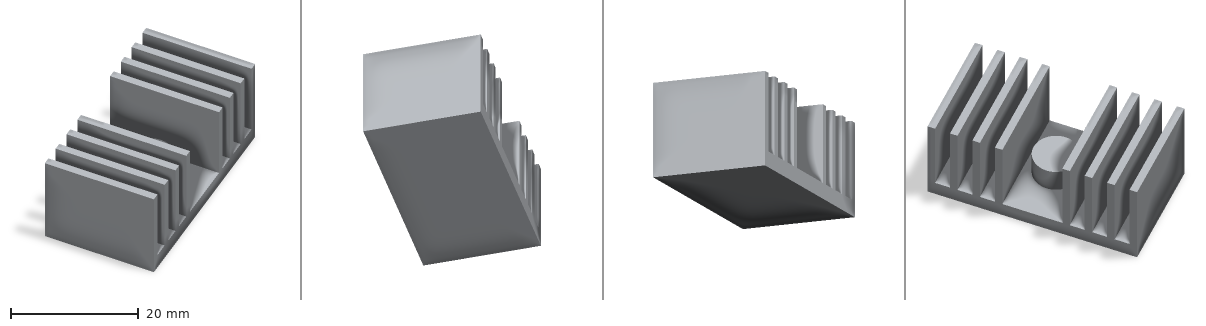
import cadquery as cq

length_x = 19.05
width_y = 35.55
height_z = 15.25
base_thickness = 2.55
fin_thickness = 1.28
fin_pitch = 3.8
fins_per_side = 4

disc_diameter = 7.6
pad_thickness = 0.32
disc_thickness = 3.85


def make_heatsink():
    """Flat base with two mirrored groups of upright fins running along X."""
    body = cq.Workplane("XY").box(length_x, width_y, base_thickness, centered=(True, True, False))
    outer_fin_y = (width_y - fin_thickness) / 2
    for side in (-1, 1):
        for index in range(fins_per_side):
            fin_y = side * (outer_fin_y - index * fin_pitch)
            fin = (
                cq.Workplane("XY")
                .box(length_x, fin_thickness, height_z, centered=(True, True, False))
                .translate((0, fin_y, 0))
            )
            body = body.union(fin)
    return body


def make_round_plate(bottom_z, thickness):
    """Upright cylinder centred on the base."""
    return cq.Workplane("XY").workplane(offset=bottom_z).circle(disc_diameter / 2).extrude(thickness)


heatsink = make_heatsink()
pad = make_round_plate(base_thickness, pad_thickness)
disc = make_round_plate(base_thickness + pad_thickness, disc_thickness)

result = cq.Compound.makeCompound([heatsink.val(), pad.val(), disc.val()])